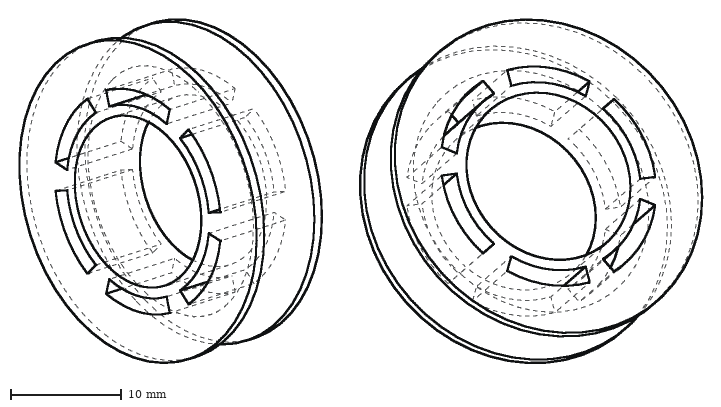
import cadquery as cq
import math

outer_radius = 15.0
bore_radius = 16.0 / 2
width = 8.5
flange_thickness = 1.0
groove_radius = width / 2 - flange_thickness

slot_count = 6
slot_inner_radius = 9.0
slot_outer_radius = 10.5
slot_outer_half_width = 4.02
slot_end_tilt = 15.0


def make_wheel():
    """Revolve the rim section, whose semicircular groove is centred on the outer radius."""
    half_width = width / 2
    section = (
        cq.Workplane("XY")
        .moveTo(bore_radius, -half_width)
        .lineTo(outer_radius, -half_width)
        .lineTo(outer_radius, -groove_radius)
        .threePointArc((outer_radius - groove_radius, 0), (outer_radius, groove_radius))
        .lineTo(outer_radius, half_width)
        .lineTo(bore_radius, half_width)
        .close()
    )
    return section.revolve(360, (0, 0, 0), (0, 1, 0))


def slot_inner_corner():
    """Follow the tilted slot end from its outer corner down to the inner arc."""
    tilt = math.radians(slot_end_tilt)
    outer_height = math.sqrt(slot_outer_radius**2 - slot_outer_half_width**2)
    along_end = slot_outer_half_width * math.sin(tilt) + outer_height * math.cos(tilt)
    end_length = along_end - math.sqrt(along_end**2 - slot_outer_radius**2 + slot_inner_radius**2)
    inner_half_width = slot_outer_half_width - end_length * math.sin(tilt)
    inner_height = outer_height - end_length * math.cos(tilt)
    return inner_half_width, inner_height


def make_slot():
    """Cutter for the slot centred on +Z, running the full width of the wheel."""
    inner_x, inner_z = slot_inner_corner()
    outer_x = slot_outer_half_width
    outer_z = math.sqrt(slot_outer_radius**2 - outer_x**2)
    return (
        cq.Workplane("XZ")
        .moveTo(-inner_x, inner_z)
        .threePointArc((0, slot_inner_radius), (inner_x, inner_z))
        .lineTo(outer_x, outer_z)
        .threePointArc((0, slot_outer_radius), (-outer_x, outer_z))
        .close()
        .extrude(width / 2, both=True)
    )


result = make_wheel()
slot = make_slot()
for index in range(slot_count):
    angle = index * 360 / slot_count
    result = result.cut(slot.rotate((0, 0, 0), (0, 1, 0), angle))